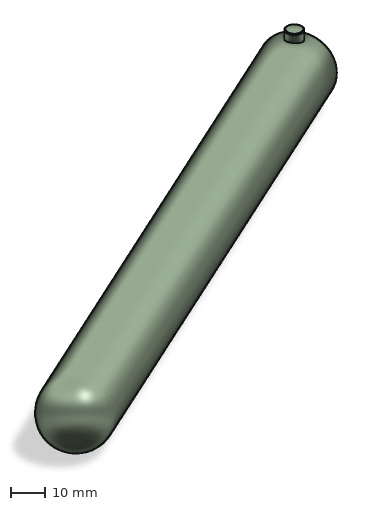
import cadquery as cq
import math

length = 220.0
rod_diameter = 24.0
rod_radius = rod_diameter / 2
back_rounding = 2.9

pin_diameter = 6.0
pin_chamfer = 0.33
overall_height = 27.0
pin_setback = 6.0
pin_top = overall_height - rod_radius

back_y = length / 2
front_y = -back_y
dome_center_y = front_y + rod_radius


def make_rod():
    """Rod revolved about the Y axis from its half outline."""
    diagonal = rod_radius * math.sqrt(0.5)
    half_outline = (
        cq.Workplane("XY")
        .moveTo(0, front_y)
        .threePointArc((diagonal, dome_center_y - diagonal), (rod_radius, dome_center_y))
        .lineTo(rod_radius, back_y)
        .lineTo(0, back_y)
        .close()
    )
    rod = half_outline.revolve(360, (0, 0, 0), (0, 1, 0))
    return rod.faces(">Y").edges().fillet(back_rounding)


def make_pin():
    """Cylindrical pin with a chamfered top edge, from the rod axis to the top of the part."""
    return (
        cq.Workplane("XY", origin=(0, back_y - pin_setback, 0))
        .circle(pin_diameter / 2)
        .extrude(pin_top)
        .faces(">Z")
        .edges()
        .chamfer(pin_chamfer)
    )


result = make_rod().union(make_pin())